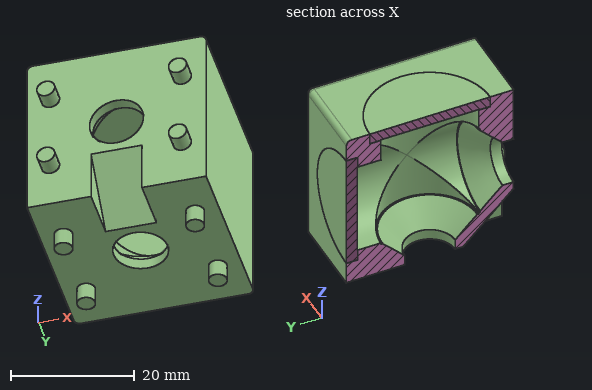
import cadquery as cq

cube = 30.0
half = cube / 2
edge_radius = 1.0

pin_diameter = 3.0
pin_length = 3.0
pin_spacing_x = 22.05
pin_spacing_along = 14.05

mouth_diameter = 9.0
mouth_depth = 2.0
bore_diameter = 17.5
bore_start_depth = 6.0
cap_diameter = 21.58
cap_thickness = 2.0

notch_width = 8.5
notch_leg = 9.0

QUARTER_TURN = -90


def turned(body, angle):
    return body.rotate((0, 0, 0), (1, 0, 0), angle)


def make_block():
    block = cq.Workplane("XY").box(cube, cube, cube)
    return block.edges("(>Z and (not <Y)) or (>Y and (not <Z))").fillet(edge_radius)


def make_pins():
    """Four pins standing down from the -Z face."""
    return (
        cq.Workplane("XY")
        .workplane(offset=-half - pin_length)
        .rarray(pin_spacing_x, pin_spacing_along, 2, 2)
        .circle(pin_diameter / 2)
        .extrude(pin_length)
    )


def make_bore():
    """Revolved cavity from the mouth in the -Z face to the cap seat in the +Z face."""
    mouth_radius = mouth_diameter / 2
    mouth_top = mouth_depth - half
    rim_level = bore_start_depth - half
    rim_radius = mouth_radius + rim_level - mouth_top
    cap_seat = half - cap_thickness

    return (
        cq.Workplane("XZ")
        .moveTo(0, -half)
        .lineTo(mouth_radius, -half)
        .lineTo(mouth_radius, mouth_top)
        .lineTo(rim_radius, rim_level)
        .lineTo(bore_diameter / 2, rim_level)
        .lineTo(bore_diameter / 2, cap_seat)
        .lineTo(cap_diameter / 2, cap_seat)
        .lineTo(cap_diameter / 2, half)
        .lineTo(0, half)
        .close()
        .revolve(360, (0, 0), (0, 1))
    )


def make_notch():
    return (
        cq.Workplane("YZ")
        .moveTo(-half, -half)
        .lineTo(-half + notch_leg, -half)
        .lineTo(-half, -half + notch_leg)
        .close()
        .extrude(notch_width / 2, both=True)
    )


def make_housing():
    housing = make_block()
    for turn in (0, QUARTER_TURN):
        housing = housing.union(turned(make_pins(), turn)).cut(turned(make_bore(), turn))
    return housing.cut(make_notch())


def make_cap():
    """Plain disc that lies flush in the +Z face."""
    seat = cq.Workplane("XY").workplane(offset=half - cap_thickness)
    return seat.circle(cap_diameter / 2).extrude(cap_thickness)


housing = make_housing()
caps = []
for turn in (0, QUARTER_TURN):
    caps.append(turned(make_cap(), turn).val())

result = cq.Compound.makeCompound([housing.val(), *caps])